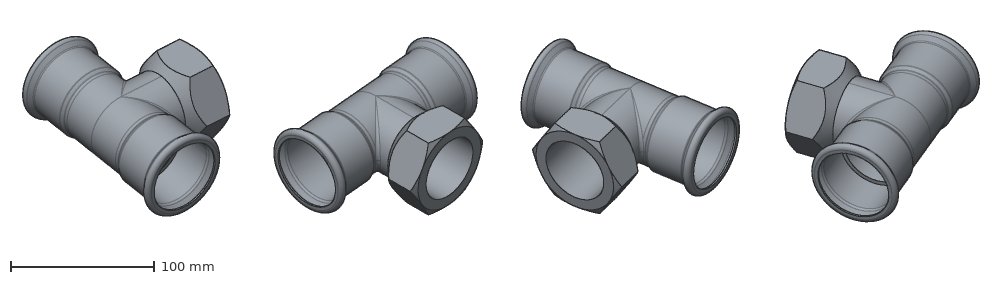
import cadquery as cq
import math

run_length = 142.0
body_diameter = 53.4
socket_diameter = 57.0
lip_diameter = 66.0
bore_diameter = 48.3
socket_bore_diameter = 54.2
lip_round = 3.3
lip_neck_round = 1.4
body_half_length = 30.1
shoulder_length = 3.0
shoulder_round = 0.9
branch_fillet = 2.3

overall_depth = 103.0
hex_length = 34.0
hex_across_flats = 64.8
hex_end_angle = 30.0

half_run = run_length / 2
branch_end = overall_depth - lip_diameter / 2
body_radius = body_diameter / 2
socket_radius = socket_diameter / 2
bore_radius = bore_diameter / 2
socket_bore_radius = socket_bore_diameter / 2
socket_wall = socket_radius - socket_bore_radius
socket_depth = half_run - body_half_length - shoulder_length
lip_center_x = -half_run + lip_round
lip_center_radius = lip_diameter / 2 - lip_round
groove_round = lip_round - socket_wall
groove_diagonal = groove_round * math.sqrt(0.5)
groove_flank_end_x = lip_center_x + lip_center_radius + 2 * groove_diagonal - socket_bore_radius
arc_middle = math.pi / 8
flat_radius = hex_across_flats / 2
hex_across_corners = hex_across_flats / math.cos(math.pi / 6)
hex_base = branch_end - hex_length


def cylinder_along_y(radius, start, end):
    return cq.Workplane("XZ", origin=(0, start, 0)).circle(radius).extrude(start - end)


def round_edge(part, x, radius, fillet):
    """Fillet the circular edge of the given radius at position x on the run."""
    margin = 0.1
    reach = radius + margin
    around_edge = cq.selectors.BoxSelector((x - margin, -reach, -reach), (x + margin, reach, reach))
    return part.edges("%CIRCLE").edges(around_edge).fillet(fillet)


def make_socket():
    """Left socket as a solid: rolled lip, 45 degree flank, barrel and shoulder."""
    diagonal = lip_round * math.sqrt(0.5)
    flank_start = (lip_center_x + diagonal, lip_center_radius + diagonal)
    flank_end_x = flank_start[0] + flank_start[1] - socket_radius
    shoulder_x = -body_half_length - shoulder_length
    overlap_end = -body_half_length + shoulder_length
    socket = (
        cq.Workplane("XY")
        .moveTo(-half_run, 0)
        .lineTo(-half_run, lip_center_radius)
        .threePointArc(
            (
                lip_center_x - lip_round * math.sin(arc_middle),
                lip_center_radius + lip_round * math.cos(arc_middle),
            ),
            flank_start,
        )
        .lineTo(flank_end_x, socket_radius)
        .lineTo(shoulder_x, socket_radius)
        .lineTo(-body_half_length, body_radius)
        .lineTo(overlap_end, body_radius)
        .lineTo(overlap_end, 0)
        .close()
        .revolve(360, (0, 0, 0), (1, 0, 0))
    )
    socket = round_edge(socket, flank_end_x, socket_radius, lip_neck_round)
    socket = round_edge(socket, shoulder_x, socket_radius, shoulder_round)
    return round_edge(socket, -body_half_length, body_radius, shoulder_round)


def make_nut():
    """Hexagon trimmed by a shallow cone at its open end and a 45 degree cone at its base."""
    hexagon = (
        cq.Workplane("XZ", origin=(0, hex_base, 0))
        .polygon(6, hex_across_corners)
        .extrude(-hex_length)
    )
    corner_radius = hex_across_corners / 2
    end_drop = (corner_radius - flat_radius) * math.tan(math.radians(hex_end_angle))
    envelope = (
        cq.Workplane("XY")
        .polyline([
            (0, hex_base),
            (body_radius, hex_base),
            (corner_radius, hex_base + corner_radius - body_radius),
            (corner_radius, branch_end - end_drop),
            (flat_radius, branch_end),
            (0, branch_end),
        ])
        .close()
        .revolve(360, (0, 0, 0), (0, 1, 0))
    )
    return hexagon.intersect(envelope)


def make_tee():
    """Equal tubes meeting at a mitre; one half is filleted at the mitre and mirrored."""
    run = cq.Workplane("YZ").circle(body_radius).extrude(body_half_length)
    keep_right = cq.Workplane("XY").box(
        run_length, 2 * branch_end, lip_diameter, centered=(False, True, True)
    )
    neck = cylinder_along_y(body_radius, 0, hex_base).intersect(keep_right)
    half_tee = run.union(neck)
    half_tee = half_tee.edges("%ELLIPSE").edges(">X").fillet(branch_fillet)
    return half_tee.union(half_tee.mirror("YZ"))


def make_lip_groove():
    """Seal groove that follows the left lip inside at constant wall thickness."""
    return (
        cq.Workplane("XY")
        .moveTo(lip_center_x - groove_round, 0)
        .lineTo(lip_center_x - groove_round, lip_center_radius)
        .threePointArc(
            (
                lip_center_x - groove_round * math.sin(arc_middle),
                lip_center_radius + groove_round * math.cos(arc_middle),
            ),
            (lip_center_x + groove_diagonal, lip_center_radius + groove_diagonal),
        )
        .lineTo(groove_flank_end_x, socket_bore_radius)
        .lineTo(groove_flank_end_x, 0)
        .close()
        .revolve(360, (0, 0, 0), (1, 0, 0))
    )


def cut_bores(part):
    """Hollow the run and the branch, then open both sockets for their pipes."""
    through = cq.Workplane("YZ", origin=(-half_run, 0, 0)).circle(bore_radius).extrude(run_length)
    part = part.cut(through).cut(cylinder_along_y(bore_radius, 0, branch_end))
    pocket = cq.Workplane("YZ", origin=(-half_run, 0, 0)).circle(socket_bore_radius)
    pocket = pocket.extrude(socket_depth)
    pocket = pocket.union(make_lip_groove())
    pocket = round_edge(pocket, groove_flank_end_x, socket_bore_radius, lip_neck_round + socket_wall)
    return part.cut(pocket).cut(pocket.mirror("YZ"))


socket = make_socket()
solid_tee = make_tee().union(socket).union(socket.mirror("YZ")).union(make_nut())
result = cut_bores(solid_tee).clean()